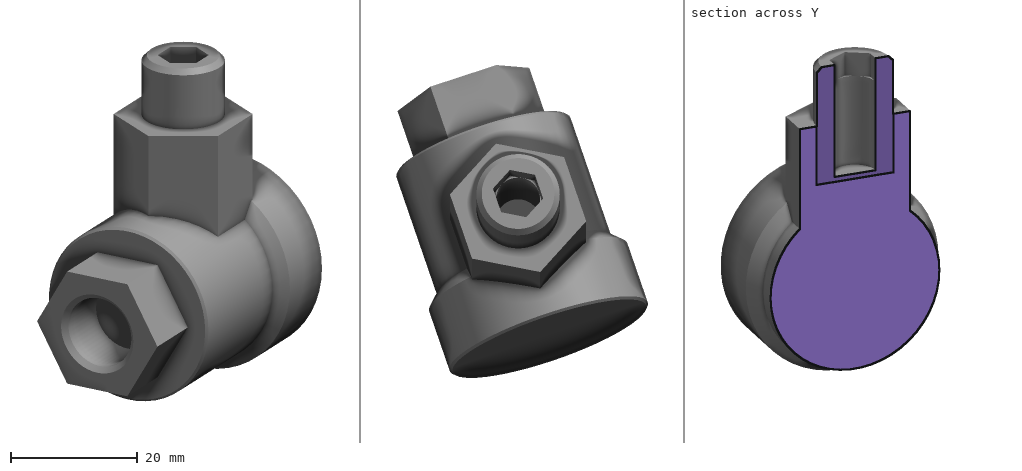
import cadquery as cq
import math

collar_diameter = 33.0
barrel_diameter = 29.0
barrel_front_y = -17.5
cone_front_y = 3.0
barrel_back_y = 15.5
edge_chamfer = 0.4
cone_length = (collar_diameter - barrel_diameter) / 2
cone_back_y = cone_front_y + cone_length

port_across_flats = 18.95
port_across_corners = port_across_flats / math.cos(math.pi / 6)
top_port_z = 28.0
front_port_length = 9.55
front_port_y = barrel_front_y - front_port_length

thread_diameter = 13.15
thread_core_diameter = 11.45
thread_chamfer = (thread_diameter - thread_core_diameter) / 2
bore_depth = front_port_length

total_height = 54.5
nipple_top_z = total_height - collar_diameter / 2
nipple_exposed_length = nipple_top_z - top_port_z
nipple_seat_depth = nipple_exposed_length
nipple_bottom_z = top_port_z - nipple_seat_depth
socket_across_flats = 7.0
socket_across_corners = socket_across_flats / math.cos(math.pi / 6)
socket_depth = 4.0
drill_diameter = socket_across_flats
drill_depth = nipple_top_z - nipple_bottom_z - thread_chamfer


def barrel():
    """Stepped round barrel with a conical shoulder and chamfered end edges."""
    collar_radius = collar_diameter / 2
    barrel_radius = barrel_diameter / 2
    profile = [
        (0, barrel_front_y),
        (barrel_radius - edge_chamfer, barrel_front_y),
        (barrel_radius, barrel_front_y + edge_chamfer),
        (barrel_radius, cone_front_y),
        (collar_radius, cone_back_y),
        (collar_radius, barrel_back_y - edge_chamfer),
        (collar_radius - edge_chamfer, barrel_back_y),
        (0, barrel_back_y),
    ]
    return cq.Workplane("XY").polyline(profile).close().revolve(360, (0, 0), (0, 1))


def top_port():
    """Upright hexagon from the barrel axis, with two corners on the Y direction."""
    return (
        cq.Workplane("XY")
        .transformed(rotate=(0, 0, 90))
        .polygon(6, port_across_corners)
        .extrude(top_port_z)
    )


def front_port():
    """Hexagon from the barrel axis toward -Y, with two corners on the X direction."""
    return cq.Workplane("XZ").polygon(6, port_across_corners).extrude(-front_port_y)


def front_bore():
    """Blind threaded-port bore with a conical lead-in."""
    core_radius = thread_core_diameter / 2
    profile = [
        (0, front_port_y),
        (thread_diameter / 2, front_port_y),
        (core_radius, front_port_y + thread_chamfer),
        (core_radius, front_port_y + bore_depth),
        (0, front_port_y + bore_depth),
    ]
    return cq.Workplane("XY").polyline(profile).close().revolve(360, (0, 0), (0, 1))


def nipple_blank():
    """Round nipple seated in the top port, chamfered at its free end."""
    return (
        cq.Workplane("XY", origin=(0, 0, nipple_bottom_z))
        .circle(thread_diameter / 2)
        .extrude(nipple_top_z - nipple_bottom_z)
        .faces(">Z")
        .chamfer(thread_chamfer)
    )


def make_housing():
    """Barrel with both ports, the front bore and the seat for the nipple."""
    solid = barrel().union(top_port()).union(front_port())
    return solid.cut(front_bore()).cut(nipple_blank())


def make_nipple():
    """Nipple with a hexagon socket that continues as a round blind hole."""
    top_plane = cq.Workplane("XY", origin=(0, 0, nipple_top_z))
    socket = (
        top_plane.transformed(rotate=(0, 0, 90))
        .polygon(6, socket_across_corners)
        .extrude(-socket_depth)
    )
    drill = top_plane.circle(drill_diameter / 2).extrude(-drill_depth)
    return nipple_blank().cut(socket).cut(drill)


housing = make_housing()
nipple = make_nipple()
result = cq.Compound.makeCompound([housing.solids().val(), nipple.solids().val()])